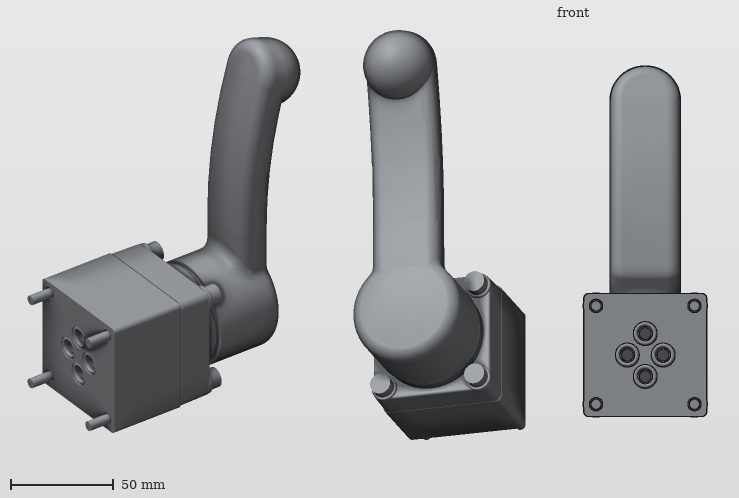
import cadquery as cq
import math


block_side = 60.0
block_length = 40.2
block_corner_radius = 2.5
block_edge_chamfer = 0.5

cover_back = 57.7
cover_corner_radius = 4.1
cover_draft = 1.2
cover_edge_radius = 1.0
boss_radius = 6.3
boss_front = 56.6
boss_back = 59.0
boss_edge_radius = 0.7

screw_spacing = 48.0
screw_diameter = 5.0
screw_tip = -11.5
screw_hole_diameter = 6.5
head_diameter = 10.3
head_back = 65.0

port_spacing_x = 17.5
port_spacing_z = 20.9
port_recess_radius = 5.8
port_ring_inner_radius = 3.6
port_ring_crest_depth = 0.2
port_throat_depth = 2.2
port_bore_radius = 2.9
port_bore_depth = 20.5

collar_radius = 26.5
collar_back = 64.9
collar_chamfer = 1.4
neck_radius = 25.3

hub_radius = 27.2
hub_front = 66.0
hub_back = 103.7
hub_edge_radius = 6.2
dome_height = 1.7

arm_width = 34.4
arm_thickness = 16.8
arm_edge_radius = 6.2
arm_bend_start = 43.3
arm_bend_radius = 285.8
arm_bend_angle = 16.8
arm_root_radius = 6.0

knob_radius = arm_width / 2
barrel_length = 13.7

screw_places = [(sx * screw_spacing / 2, sz * screw_spacing / 2) for sx in (-1, 1) for sz in (-1, 1)]
port_places = [
    (-port_spacing_x / 2, 0),
    (port_spacing_x / 2, 0),
    (0, -port_spacing_z / 2),
    (0, port_spacing_z / 2),
]


def plane_at(y):
    """Workplane across the valve axis at position y, extruding toward +Y."""
    return cq.Workplane("XZ", origin=(0, y, 0)).transformed(rotate=(180, 0, 0))


def disc(radius, front, back):
    """Cylinder on the valve axis between two Y positions."""
    return plane_at(front).circle(radius).extrude(back - front)


def make_block():
    block = plane_at(0).rect(block_side, block_side).extrude(block_length)
    return block.edges("|Y").fillet(block_corner_radius).faces(">Y").chamfer(block_edge_chamfer)


def make_cover():
    outline = cq.Sketch().rect(block_side, block_side).vertices().fillet(cover_corner_radius)
    cover = plane_at(block_length).placeSketch(outline).extrude(cover_back - block_length, taper=cover_draft)
    cover = cover.faces(">Y").edges().fillet(cover_edge_radius)
    bosses = plane_at(boss_front).pushPoints(screw_places).circle(boss_radius).extrude(boss_back - boss_front)
    return cover.union(bosses.faces(">Y").edges().fillet(boss_edge_radius))


def make_collar_and_neck():
    collar = disc(collar_radius, cover_back, collar_back).faces(">Y").chamfer(collar_chamfer)
    return collar.union(disc(neck_radius, cover_back, hub_front))


def make_hub():
    return disc(hub_radius, hub_front, hub_back).faces(">Y").edges().fillet(hub_edge_radius)


def make_dome():
    rim_radius = hub_radius - hub_edge_radius
    sphere_radius = (rim_radius**2 + dome_height**2) / (2 * dome_height)
    dome_top = hub_back + dome_height
    sphere = cq.Workplane("XY").sphere(sphere_radius).translate((0, dome_top - sphere_radius, 0))
    return sphere.intersect(disc(rim_radius, hub_back, dome_top))


def make_arm():
    section = cq.Sketch().rect(arm_width, arm_thickness).vertices().fillet(arm_edge_radius)
    middle_y = hub_back - arm_thickness / 2
    middle_bend_radius = arm_bend_radius - arm_thickness / 2
    straight = cq.Workplane("XY", origin=(0, middle_y, 0)).placeSketch(section).extrude(arm_bend_start)
    bend = (
        cq.Workplane("XY", origin=(0, middle_y, arm_bend_start))
        .placeSketch(section)
        .revolve(arm_bend_angle, (0, middle_bend_radius), (-1, middle_bend_radius))
    )
    return straight.union(bend)


def knob_plane():
    """Plane at the front of the arm's tip: local Y runs back along the knob axis."""
    tilt = math.radians(arm_bend_angle)
    tip_y = hub_back - arm_thickness + arm_bend_radius * (1 - math.cos(tilt))
    tip_z = arm_bend_start + arm_bend_radius * math.sin(tilt)
    return cq.Plane((0, tip_y, tip_z), (1, 0, 0), (0, math.sin(tilt), math.cos(tilt)))


def make_knob():
    profile = (
        cq.Workplane(knob_plane())
        .lineTo(knob_radius - arm_edge_radius, 0)
        .radiusArc((knob_radius, arm_edge_radius), -arm_edge_radius)
        .lineTo(knob_radius, barrel_length)
        .radiusArc((0, barrel_length + knob_radius), -knob_radius)
        .close()
    )
    knob = profile.revolve(360, (0, 0), (0, 1))
    below_axis = (
        cq.Workplane(knob_plane())
        .center(0, arm_thickness / 4)
        .rect(2 * arm_width, arm_thickness / 2)
        .extrude(-arm_width)
    )
    return knob.cut(below_axis)


def make_lever():
    lever = make_hub().union(make_arm())
    arm_front = hub_back - arm_thickness
    margin = arm_edge_radius / 2
    root_edge = cq.selectors.BoxSelector(
        (-arm_width, arm_front - margin, hub_radius / 2),
        (arm_width, arm_front + margin, hub_radius),
    )
    lever = lever.edges(root_edge).edges("%CIRCLE").fillet(arm_root_radius)
    return lever.union(make_knob()).union(make_dome())


def make_port_cutter():
    """Recess, throat and bore of one port, leaving the half-round ring standing."""
    ring_radius = (port_recess_radius - port_ring_inner_radius) / 2
    ring_centre_depth = port_ring_crest_depth + ring_radius
    return (
        cq.Workplane("XY")
        .lineTo(port_recess_radius, 0)
        .lineTo(port_recess_radius, ring_centre_depth)
        .threePointArc(
            (port_ring_inner_radius + ring_radius, port_ring_crest_depth),
            (port_ring_inner_radius, ring_centre_depth),
        )
        .lineTo(port_ring_inner_radius, port_throat_depth)
        .lineTo(port_bore_radius, port_throat_depth)
        .lineTo(port_bore_radius, port_bore_depth)
        .lineTo(0, port_bore_depth)
        .close()
        .revolve(360, (0, 0), (0, 1))
    )


def make_valve():
    valve = make_block().union(make_cover()).union(make_collar_and_neck()).union(make_lever())
    valve = valve.cut(plane_at(0).pushPoints(screw_places).circle(screw_hole_diameter / 2).extrude(boss_back))
    port_cutter = make_port_cutter()
    for x, z in port_places:
        valve = valve.cut(port_cutter.translate((x, 0, z)))
    return valve


def make_screw(x, z):
    shank = disc(screw_diameter / 2, screw_tip, boss_back)
    head = disc(head_diameter / 2, boss_back, head_back)
    return shank.union(head).translate((x, 0, z))


valve = make_valve()
screws = [make_screw(x, z) for x, z in screw_places]

result = cq.Compound.makeCompound([valve.val(), *[screw.val() for screw in screws]])